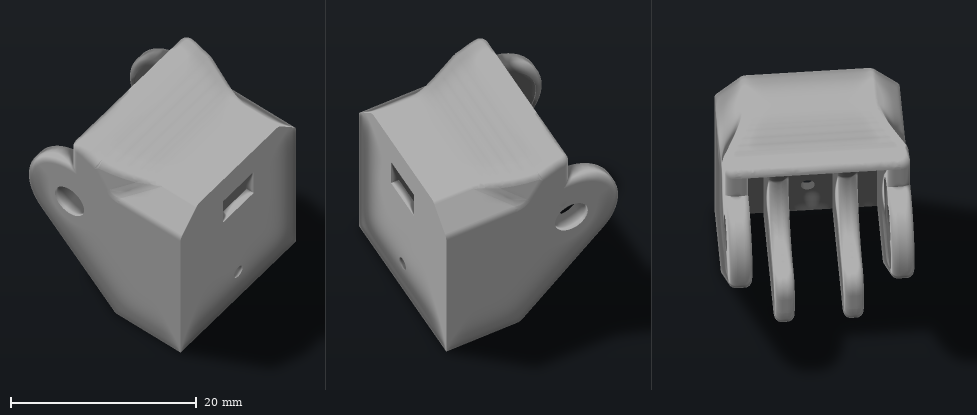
import cadquery as cq
import math

WIDTH = 20.0
HEIGHT = 23.9
BACK_X = 15.25
HALF_WIDTH = WIDTH / 2

PIVOT_Z = 14.0
EAR_RADIUS = 6.0
EAR_THICKNESS = 2.5
EAR_FILLET = 0.8
EAR_TOP_X = 2.4
PIVOT_HOLE_DIAMETER = 4.0
RECESS_DIAMETER = 10.0
RECESS_DEPTH = 0.15

EDGE_FILLET = 1.0
ROOF_Z = 21.99
ROOF_FLAT_X = 8.95
LIP_RADIUS = 5.0
LIP_CENTER_X = 0.25
CHAMFER = 3.0
CHAMFER_Z = ROOF_Z - CHAMFER

FLANK_END_X = 6.35
FLANK_RADIUS = 1.39
FLANK_ANGLE = 58
FLANK_SLANT = 4.64

BACK_WALL = 0.95
WALL_X = BACK_X - BACK_WALL
CEILING_Z = HEIGHT - EDGE_FILLET
CEILING_DEGREES = 45
CAVITY_HALF_WIDTH = HALF_WIDTH - EAR_THICKNESS

SLOT_HALF_WIDTH = 2.65
SLOT_TOP_Z = 18.4
WINDOW_BOTTOM_Z = 14.9
RIB_THICKNESS = 2.15
RIB_FILLET = 0.8
RIB_FRONT_X = -2.5
RIB_RELIEF_RADIUS = 6.25
NOSE_LOW_Z = 3.0
NOSE_LOW_RADIUS = 4.0
NOSE_HIGH_Z = 5.25

GAP = 0.02

SMALL_HOLE_DIAMETER = 1.5
WALL_HOLE_Z = 4.2
BLIND_HOLE_Y = -4.8
BLIND_HOLE_Z = 16.51
BLIND_HOLE_BOTTOM_X = 8.6


def on_circle(center, radius, degrees):
    """Point on a circle in the XZ plane."""
    angle = math.radians(degrees)
    return (center[0] + radius * math.cos(angle), center[1] + radius * math.sin(angle))


def fill(sketch, y_low, y_high):
    """Extrude an XZ outline so that it fills y_low to y_high."""
    return sketch.extrude(y_high - y_low).translate((0, y_high, 0))


def rod(diameter, y, z, x_start, x_end):
    """Round bar along X."""
    return cq.Workplane("YZ", origin=(x_start, y, z)).circle(diameter / 2).extrude(x_end - x_start)


def side_cutter():
    """Material removed beside the flank and above the chamfer on the +Y side.

    The flank outline is swept along a slanted direction lying in the chamfer plane.
    """
    top_z = HEIGHT + CHAMFER
    far_x = 2 * BACK_X
    center = (FLANK_END_X, CHAMFER_Z + FLANK_RADIUS)
    arc_middle = on_circle(center, FLANK_RADIUS, 270 - FLANK_ANGLE / 2)
    arc_end = on_circle(center, FLANK_RADIUS, 270 - FLANK_ANGLE)
    top_x = arc_end[0] - (top_z - arc_end[1]) / math.tan(math.radians(FLANK_ANGLE))
    outline = (
        cq.Workplane("XZ", origin=(0, HALF_WIDTH, 0))
        .moveTo(far_x, CHAMFER_Z)
        .lineTo(FLANK_END_X, CHAMFER_Z)
        .threePointArc(arc_middle, arc_end)
        .lineTo(top_x, top_z)
        .lineTo(far_x, top_z)
        .close()
    )
    sweep = cq.Vector(FLANK_SLANT, -CHAMFER, CHAMFER) * 2
    return cq.Workplane(cq.Solid.extrudeLinear(cq.Face.makeFromWires(outline.val()), sweep))


def hood():
    """Solid block with the lip, roof, chamfers and rounded outer edges."""
    lip_center_z = CEILING_Z - math.sqrt((LIP_RADIUS - EDGE_FILLET) ** 2 - (EDGE_FILLET - LIP_CENTER_X) ** 2)
    lip_center = (LIP_CENTER_X, lip_center_z)
    lip_top_z = lip_center_z + LIP_RADIUS
    run = ROOF_FLAT_X - LIP_CENTER_X
    drop = ROOF_Z - lip_center_z
    roof_radius = (run**2 + drop**2 - LIP_RADIUS**2) / (2 * (LIP_RADIUS - drop))
    roof_center = (ROOF_FLAT_X, ROOF_Z + roof_radius)
    blend_degrees = math.degrees(math.asin(run / (LIP_RADIUS + roof_radius)))
    outline = (
        cq.Workplane("XZ")
        .moveTo(0, PIVOT_Z)
        .lineTo(0, lip_top_z)
        .lineTo(LIP_CENTER_X, lip_top_z)
        .threePointArc(
            on_circle(lip_center, LIP_RADIUS, 90 - blend_degrees / 2),
            on_circle(lip_center, LIP_RADIUS, 90 - blend_degrees),
        )
        .threePointArc(
            on_circle(roof_center, roof_radius, 270 - blend_degrees / 2),
            (ROOF_FLAT_X, ROOF_Z),
        )
        .lineTo(BACK_X, ROOF_Z)
        .lineTo(BACK_X, 0)
        .lineTo(WALL_X, 0)
        .close()
    )
    body = fill(outline, -HALF_WIDTH, HALF_WIDTH)
    body = body.cut(side_cutter()).cut(side_cutter().mirror("XZ"))

    upper = cq.selectors.BoxSelector((-GAP, -WIDTH, SLOT_TOP_Z), (WALL_X, WIDTH, lip_top_z))
    crest_y = HALF_WIDTH - CHAMFER - GAP
    edges = body.faces("<Y or >Y").edges(upper)
    edges = edges.add(body.edges("<X and >Z"))
    for low, high in ((-HALF_WIDTH + GAP, -crest_y), (crest_y, HALF_WIDTH - GAP)):
        crest = cq.selectors.BoxSelector((GAP, low, ROOF_Z - GAP), (WALL_X, high, HEIGHT))
        edges = edges.add(body.edges(crest))
    return edges.fillet(EDGE_FILLET)


def cavity_prism(half_width):
    """Space below the ceiling and in front of the back wall."""
    outline = (
        cq.Workplane("XZ")
        .moveTo(-CEILING_Z, 0)
        .lineTo(-CEILING_Z, CEILING_Z)
        .lineTo(0, CEILING_Z)
        .lineTo(WALL_X, CEILING_Z - WALL_X * math.tan(math.radians(CEILING_DEGREES)))
        .lineTo(WALL_X, 0)
        .close()
    )
    return fill(outline, -half_width, half_width)


def cavity():
    """Open space between the ears, flared at the front by rounded vertical edges."""
    flare_half_width = CAVITY_HALF_WIDTH + EAR_FILLET
    flare = cq.Workplane("XY").box(EAR_FILLET, 2 * flare_half_width, HEIGHT, centered=(False, True, False))
    rounds = (
        cq.Workplane("XY")
        .pushPoints([(EAR_FILLET, -flare_half_width), (EAR_FILLET, flare_half_width)])
        .circle(EAR_FILLET)
        .extrude(HEIGHT)
    )
    flare = flare.cut(rounds).intersect(cavity_prism(HALF_WIDTH))
    return cavity_prism(CAVITY_HALF_WIDTH).union(flare)


def ear():
    """The +Y ear, rounded along its free rim."""
    pivot = (0, PIVOT_Z)
    ear_top_z = PIVOT_Z + EAR_RADIUS
    tangent = on_circle(pivot, EAR_RADIUS, 225)
    outline = (
        cq.Workplane("XZ")
        .moveTo(0, ear_top_z)
        .threePointArc(on_circle(pivot, EAR_RADIUS, (90 + 225) / 2), tangent)
        .lineTo(tangent[0] + tangent[1], 0)
        .lineTo(BACK_X, 0)
        .lineTo(BACK_X, PIVOT_Z)
        .lineTo(EAR_TOP_X, PIVOT_Z)
        .lineTo(EAR_TOP_X, ear_top_z)
        .close()
    )
    plate = fill(outline, CAVITY_HALF_WIDTH, HALF_WIDTH)
    rim = cq.selectors.BoxSelector((-WIDTH, 0, GAP), (EAR_TOP_X - GAP, WIDTH, HEIGHT))
    return plate.faces("<Y or >Y").edges(rim).fillet(EAR_FILLET)


def pivot_bore():
    """Pivot hole through both ears, with a shallow recess in their inner faces."""
    disc = cq.Workplane("XZ", origin=(0, 0, PIVOT_Z))
    hole = fill(disc.circle(PIVOT_HOLE_DIAMETER / 2), -HALF_WIDTH, HALF_WIDTH)
    recess_y = CAVITY_HALF_WIDTH + RECESS_DEPTH
    for side in (-1, 1):
        inner, outer = sorted((side * CAVITY_HALF_WIDTH, side * recess_y))
        hole = hole.union(fill(disc.circle(RECESS_DIAMETER / 2), inner, outer))
    return hole


def rib():
    """The +Y rib: a rounded nose that rises into a curve around the pivot."""
    pivot = (0, PIVOT_Z)
    rise = PIVOT_Z - NOSE_HIGH_Z
    nose_radius = ((rise**2 + RIB_FRONT_X**2 - RIB_RELIEF_RADIUS**2)
                   / (2 * (RIB_RELIEF_RADIUS - RIB_FRONT_X)))
    high_center = (RIB_FRONT_X + nose_radius, NOSE_HIGH_Z)
    touch_degrees = math.degrees(math.atan2(-rise, high_center[0]))
    low_center = (RIB_FRONT_X + NOSE_LOW_RADIUS, NOSE_LOW_Z)
    base_degrees = 180 + math.degrees(math.asin(NOSE_LOW_Z / NOSE_LOW_RADIUS))
    outline = (
        cq.Workplane("XZ")
        .moveTo(*on_circle(low_center, NOSE_LOW_RADIUS, base_degrees))
        .threePointArc(
            on_circle(low_center, NOSE_LOW_RADIUS, (180 + base_degrees) / 2),
            (RIB_FRONT_X, NOSE_LOW_Z),
        )
        .lineTo(RIB_FRONT_X, NOSE_HIGH_Z)
        .threePointArc(
            on_circle(high_center, nose_radius, (360 + touch_degrees) / 2),
            on_circle(pivot, RIB_RELIEF_RADIUS, touch_degrees),
        )
        .threePointArc(
            on_circle(pivot, RIB_RELIEF_RADIUS, (touch_degrees + CEILING_DEGREES) / 2),
            on_circle(pivot, RIB_RELIEF_RADIUS, CEILING_DEGREES),
        )
        .lineTo(BACK_X, SLOT_TOP_Z)
        .lineTo(BACK_X, 0)
        .close()
    )
    plate = fill(outline, SLOT_HALF_WIDTH, SLOT_HALF_WIDTH + RIB_THICKNESS)
    front = cq.selectors.BoxSelector((-WIDTH, 0, GAP), (RIB_RELIEF_RADIUS, WIDTH, PIVOT_Z))
    return plate.faces("<Y or >Y").edges(front).fillet(RIB_FILLET)


def slot():
    """Gap in the ceiling, reaching sideways to the middle of each rib."""
    width = 2 * SLOT_HALF_WIDTH + RIB_THICKNESS
    return cq.Workplane("XY").box(WALL_X, width, SLOT_TOP_Z, centered=(False, True, False))


def window():
    """Opening through the back wall at the top of the slot."""
    height = SLOT_TOP_Z - WINDOW_BOTTOM_Z
    opening = cq.Workplane("XY").box(BACK_X, 2 * SLOT_HALF_WIDTH, height, centered=(False, True, False))
    return opening.translate((0, 0, WINDOW_BOTTOM_Z))


body = hood().cut(cavity()).cut(slot())
for part in (ear(), rib()):
    body = body.union(part).union(part.mirror("XZ"))
body = body.cut(window()).cut(pivot_bore())
body = body.cut(rod(SMALL_HOLE_DIAMETER, 0, WALL_HOLE_Z, 0, BACK_X))
result = body.cut(rod(SMALL_HOLE_DIAMETER, BLIND_HOLE_Y, BLIND_HOLE_Z, 0, BLIND_HOLE_BOTTOM_X))